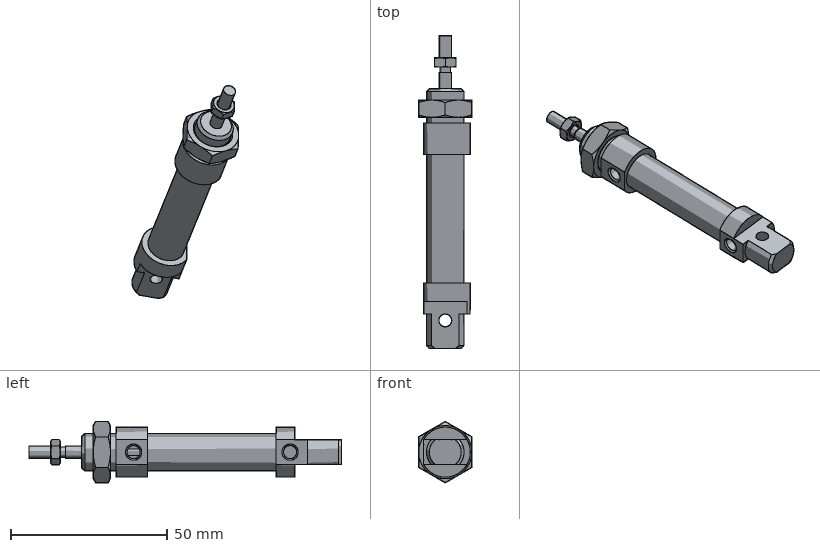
import cadquery as cq
import math

overall_length = 100.0

clevis_length = 11.0
rear_head_length = 10.0
rear_collar_length = 6.0
front_head_length = 10.1
rod_projection = 16.9
neck_length = 11.0
neck_front = overall_length - rod_projection
front_head_front = neck_front - neck_length
front_head_rear = front_head_front - front_head_length
rear_head_front = clevis_length + rear_head_length
rear_collar_rear = rear_head_front - rear_collar_length

tube_diameter = 12.0
head_diameter = 16.0
clevis_thickness = 8.0
port_flat_x = -math.sqrt(head_diameter**2 - clevis_thickness**2) / 2
end_chamfer_length = 1.0
end_chamfer_width = 0.9
clevis_hole_diameter = 4.0
clevis_hole_y = 9.0

port_diameter = 4.2
port_mouth_diameter = 5.2
port_mouth_chamfer = (port_mouth_diameter - port_diameter) / 2
port_floor_x = -1.7
port_to_tube_end = 4.5
port_positions = (
    front_head_rear + port_to_tube_end,
    rear_head_front - port_to_tube_end,
)

rod_diameter = 4.0
thread_length = 11.8
undercut_diameter = 3.4
undercut_length = 3.2

nut_chamfer_angle = 30.0
mounting_nut_width = 17.0
mounting_nut_thickness = 5.5
mounting_nut_face_diameter = 17.0
mounting_nut_countersink = 0.5
mounting_nut_rear_to_neck_front = 9.2
mounting_nut_rear = neck_front - mounting_nut_rear_to_neck_front
rod_nut_width = 7.0
rod_nut_thickness = 3.1
rod_nut_face_diameter = 6.8
rod_nut_countersink = 0.3
rod_nut_rear_to_tip = 10.1
rod_nut_rear = overall_length - rod_nut_rear_to_tip


def cylinder_y(diameter, start, end):
    """Cylinder on the Y axis between two Y positions."""
    plane = cq.Workplane("XZ", origin=(0, start, 0))
    return plane.circle(diameter / 2).extrude(start - end)


def head(start, end):
    """Round head with a flat on its -X side for the air port."""
    flat_cut = cq.Workplane("XY").box(
        head_diameter, end - start, head_diameter, centered=(True, False, True)
    )
    flat_cut = flat_cut.translate((port_flat_x - head_diameter / 2, start, 0))
    return cylinder_y(head_diameter, start, end).cut(flat_cut)


def port(y):
    """Blind port with a chamfered mouth, drilled along +X from the flat."""
    plane = cq.Workplane("YZ", origin=(port_flat_x, y, 0))
    bore = plane.circle(port_diameter / 2).extrude(port_floor_x - port_flat_x)
    mouth = cq.Solid.makeCone(
        port_mouth_diameter / 2,
        port_diameter / 2,
        port_mouth_chamfer,
        pnt=cq.Vector(port_flat_x, y, 0),
        dir=cq.Vector(1, 0, 0),
    )
    return bore.union(cq.Workplane(mouth))


def make_rod():
    """Piston rod, seated in the housing as far as the rear of the front head."""
    rod = cylinder_y(rod_diameter, front_head_rear, overall_length)
    undercut_rear = overall_length - thread_length
    undercut_front = undercut_rear + undercut_length
    groove = cylinder_y(rod_diameter, undercut_rear, undercut_front).cut(
        cylinder_y(undercut_diameter, undercut_rear, undercut_front)
    )
    return rod.cut(groove)


def make_housing():
    """Tube, both heads, threaded neck and clevis tongue in one solid."""
    core = cylinder_y(tube_diameter, 0, neck_front)
    core = core.faces("<Y or >Y").chamfer(end_chamfer_length, end_chamfer_width)
    body = core.union(head(front_head_rear, front_head_front))
    body = body.union(head(clevis_length, rear_head_front))

    above_tongue = cq.Workplane("XY").box(
        head_diameter, rear_collar_rear, head_diameter, centered=(True, False, False)
    )
    above_tongue = above_tongue.translate((0, 0, clevis_thickness / 2))
    body = body.cut(above_tongue).cut(above_tongue.mirror("XY"))

    clevis_hole = (
        cq.Workplane("XY", origin=(0, clevis_hole_y, 0))
        .circle(clevis_hole_diameter / 2)
        .extrude(clevis_thickness, both=True)
    )
    body = body.cut(clevis_hole)

    for y in port_positions:
        body = body.cut(port(y))
    return body.cut(cylinder_y(rod_diameter, front_head_rear, neck_front))


def make_nut(width, thickness, face_diameter, bore_diameter, countersink, rear):
    """Hexagon nut with corners on +Z and -Z, conical outer chamfers and a countersunk bore."""
    corner_radius = width / math.sqrt(3)
    face_radius = face_diameter / 2
    chamfer_depth = (corner_radius - face_radius) * math.tan(math.radians(nut_chamfer_angle))
    front = rear + thickness
    corner_angles = [i * math.pi / 3 for i in range(6)]
    corners = [(corner_radius * math.sin(angle), corner_radius * math.cos(angle)) for angle in corner_angles]
    prism = cq.Workplane("XZ", origin=(0, rear, 0)).polyline(corners).close().extrude(-thickness)
    envelope = (
        cq.Workplane("XY")
        .moveTo(0, rear)
        .lineTo(face_radius, rear)
        .lineTo(corner_radius, rear + chamfer_depth)
        .lineTo(corner_radius, front - chamfer_depth)
        .lineTo(face_radius, front)
        .lineTo(0, front)
        .close()
        .revolve(360, (0, 0, 0), (0, 1, 0))
    )
    nut = prism.intersect(envelope).cut(cylinder_y(bore_diameter, rear, front))
    bore_rims = nut.faces("<Y or >Y").edges(cq.selectors.RadiusNthSelector(0))
    return bore_rims.chamfer(countersink)


rod = make_rod()
housing = make_housing()
mounting_nut = make_nut(
    mounting_nut_width,
    mounting_nut_thickness,
    mounting_nut_face_diameter,
    tube_diameter,
    mounting_nut_countersink,
    mounting_nut_rear,
)
rod_nut = make_nut(
    rod_nut_width,
    rod_nut_thickness,
    rod_nut_face_diameter,
    rod_diameter,
    rod_nut_countersink,
    rod_nut_rear,
)

result = cq.Compound.makeCompound([housing.val(), rod.val(), mounting_nut.val(), rod_nut.val()])